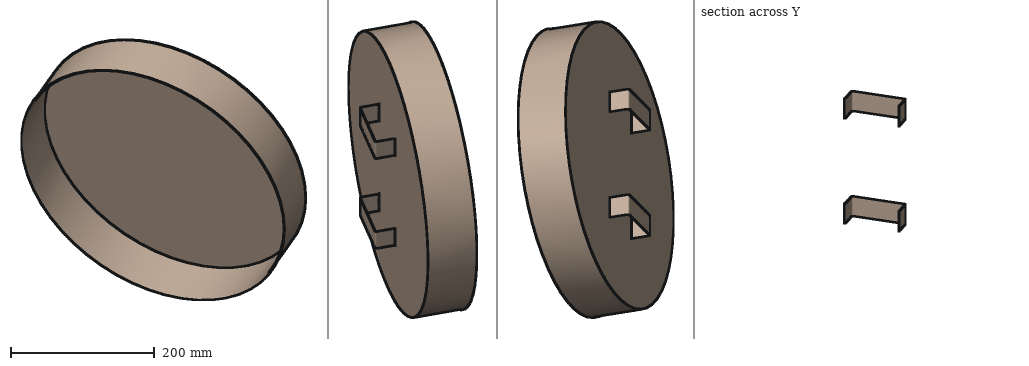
import cadquery as cq
import math

lip_diameter = 407.0
wall_diameter = 405.0
dish_depth = 72.0
sheet = 1.0
corner_radius = 2.0

panel_thickness = 1.0

overall_depth = 101.5
bracket_span = 80.5
bracket_width = 30.0
bracket_spacing = 160.0
bracket_sheet = 1.2
bracket_bend_radius = 3.0
foot_flare = 1.0

lip_radius = lip_diameter / 2
wall_radius = wall_diameter / 2
bore_radius = wall_radius - sheet
floor_y = dish_depth - sheet
lip_flare = lip_radius - wall_radius
DIAGONAL = math.sqrt(0.5)


def on_arc(center_x, center_y, radius, x_sign, y_sign):
    """Middle point of a quarter arc that lies in the given quadrant of its centre."""
    return (center_x + x_sign * radius * DIAGONAL, center_y + y_sign * radius * DIAGONAL)


def make_dish():
    """Revolve the half section, drawn with X as the radius, about the Y axis."""
    corner_x = wall_radius - corner_radius
    corner_y = dish_depth - corner_radius
    flare_y = sheet + lip_flare
    half_section = (
        cq.Workplane("XY")
        .moveTo(0, dish_depth)
        .lineTo(corner_x, dish_depth)
        .threePointArc(on_arc(corner_x, corner_y, corner_radius, 1, 1), (wall_radius, corner_y))
        .lineTo(wall_radius, flare_y)
        .threePointArc(on_arc(lip_radius, flare_y, lip_flare, -1, -1), (lip_radius, sheet))
        .lineTo(lip_radius, 0)
        .threePointArc(on_arc(lip_radius, flare_y, flare_y, -1, -1), (bore_radius, flare_y))
        .lineTo(bore_radius, floor_y)
        .lineTo(0, floor_y)
        .close()
    )
    return half_section.revolve(360, (0, 0, 0), (0, 1, 0))


def make_panel():
    """Disc that fills the bore and rests on the dish floor."""
    return cq.Workplane("XZ", origin=(0, floor_y, 0)).circle(bore_radius).extrude(panel_thickness)


def make_bracket(center_z):
    """U-shaped strap with rounded bends and feet that flare outward onto the dish."""
    leg_x = bracket_span / 2
    inner_x = leg_x - bracket_sheet
    foot_x = leg_x + foot_flare
    flare_y = dish_depth + bracket_sheet + foot_flare
    bend_x = leg_x - bracket_bend_radius
    bend_y = overall_depth - bracket_bend_radius
    inner_bend_radius = bracket_bend_radius - bracket_sheet
    half_strap = (
        cq.Workplane("XY", origin=(0, 0, center_z))
        .moveTo(0, overall_depth)
        .lineTo(bend_x, overall_depth)
        .threePointArc(on_arc(bend_x, bend_y, bracket_bend_radius, 1, 1), (leg_x, bend_y))
        .lineTo(leg_x, flare_y)
        .threePointArc(
            on_arc(foot_x, flare_y, foot_flare, -1, -1), (foot_x, dish_depth + bracket_sheet)
        )
        .lineTo(foot_x, dish_depth)
        .threePointArc(
            on_arc(foot_x, flare_y, foot_flare + bracket_sheet, -1, -1), (inner_x, flare_y)
        )
        .lineTo(inner_x, bend_y)
        .threePointArc(
            on_arc(bend_x, bend_y, inner_bend_radius, 1, 1), (bend_x, overall_depth - bracket_sheet)
        )
        .lineTo(0, overall_depth - bracket_sheet)
        .close()
        .extrude(bracket_width / 2, both=True)
    )
    return half_strap.union(half_strap.mirror("YZ")).clean()


dish = make_dish()
panel = make_panel()
brackets = [make_bracket(side * bracket_spacing / 2) for side in (-1, 1)]

result = cq.Compound.makeCompound(
    [dish.val(), panel.val(), *[bracket.val() for bracket in brackets]]
)